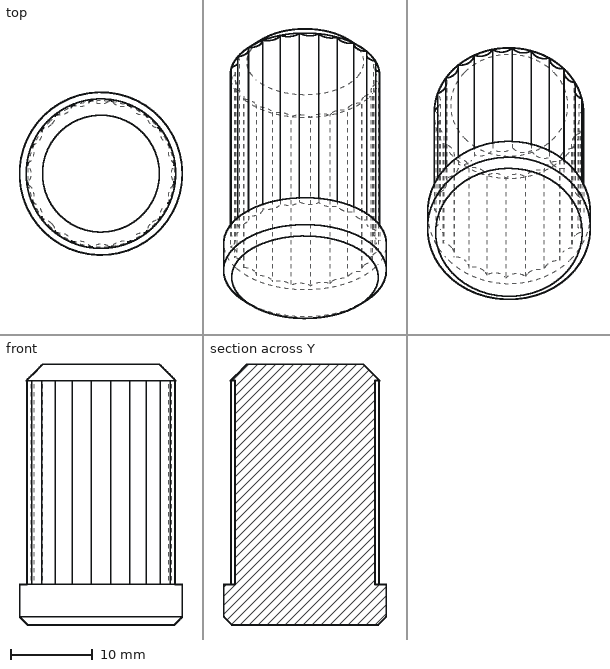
import cadquery as cq
import math

collar_diameter = 20.0
collar_height = 5.0
collar_chamfer = 1.0

total_height = 32.0
grip_diameter = 18.35
tip_chamfer = 2.0
flute_count = 24
flute_depth = 0.5

grip_radius = grip_diameter / 2
grip_top = total_height - tip_chamfer
flute_pitch = 2 * math.pi / flute_count


def polar_point(radius, angle):
    return (radius * math.cos(angle), radius * math.sin(angle))


def make_collar():
    """Round collar, chamfered around its bottom edge."""
    collar = cq.Workplane("XY").circle(collar_diameter / 2).extrude(collar_height)
    return collar.faces("<Z").edges().chamfer(collar_chamfer)


def make_fluted_grip():
    """Column of concave flutes that meet in sharp ridges on the grip diameter."""
    ridge_angle = -flute_pitch / 2
    flute_floor_radius = grip_radius * math.cos(flute_pitch / 2) - flute_depth
    outline = cq.Workplane("XY").workplane(offset=collar_height)
    outline = outline.moveTo(*polar_point(grip_radius, ridge_angle))
    for index in range(flute_count):
        floor_angle = index * flute_pitch
        next_ridge_angle = floor_angle + flute_pitch / 2
        outline = outline.threePointArc(
            polar_point(flute_floor_radius, floor_angle),
            polar_point(grip_radius, next_ridge_angle),
        )
    return outline.close().extrude(grip_top - collar_height)


def make_tip():
    """Conical tip whose full round base overhangs the flutes."""
    tip = cq.Workplane("XY").workplane(offset=grip_top).circle(grip_radius)
    return tip.workplane(offset=tip_chamfer).circle(grip_radius - tip_chamfer).loft()


result = make_collar().union(make_fluted_grip()).union(make_tip())